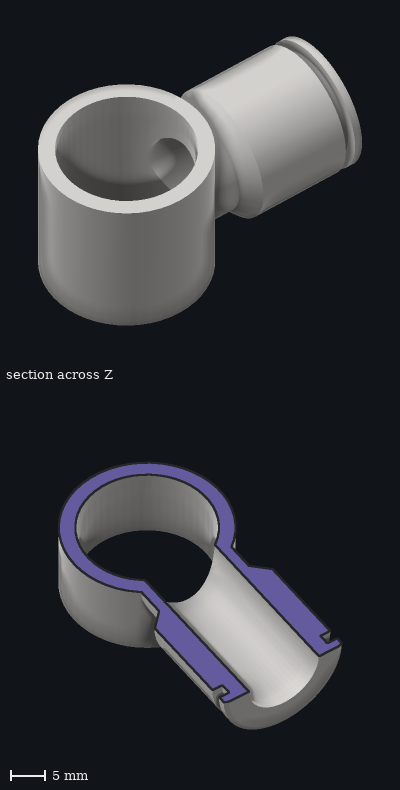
import cadquery as cq

sleeve_diameter = 26.0
sleeve_bore = 21.0
sleeve_height = 24.0

total_length = 48.5
branch_end = total_length - sleeve_diameter / 2
neck_diameter = 16.05
body_diameter = sleeve_bore
cone_start = 14.75
cone_length = (body_diameter - neck_diameter) / 2
groove_diameter = 17.5
groove_width = 1.7
collar_width = 1.55
collar_chamfer_length = 0.3
collar_chamfer_depth = 0.8
port_diameter = 12.4


def make_sleeve():
    return cq.Workplane("XY").cylinder(sleeve_height, sleeve_diameter / 2)


def make_branch():
    """Revolve the stepped half-profile around the Y axis."""
    neck_radius = neck_diameter / 2
    body_radius = body_diameter / 2
    groove_radius = groove_diameter / 2
    collar_start = branch_end - collar_width
    groove_start = collar_start - groove_width
    return (
        cq.Workplane("XY")
        .lineTo(neck_radius, 0)
        .lineTo(neck_radius, cone_start)
        .lineTo(body_radius, cone_start + cone_length)
        .lineTo(body_radius, groove_start)
        .lineTo(groove_radius, groove_start)
        .lineTo(groove_radius, collar_start)
        .lineTo(body_radius, collar_start)
        .lineTo(body_radius, branch_end - collar_chamfer_length)
        .lineTo(body_radius - collar_chamfer_depth, branch_end)
        .lineTo(0, branch_end)
        .close()
        .revolve(360, (0, 0, 0), (0, 1, 0))
    )


def make_sleeve_bore():
    return cq.Workplane("XY").cylinder(sleeve_height, sleeve_bore / 2)


def make_port():
    """Bore from the sleeve axis out through the end of the branch."""
    return cq.Workplane("XZ").circle(port_diameter / 2).extrude(-total_length)


result = make_sleeve().union(make_branch()).cut(make_sleeve_bore()).cut(make_port())